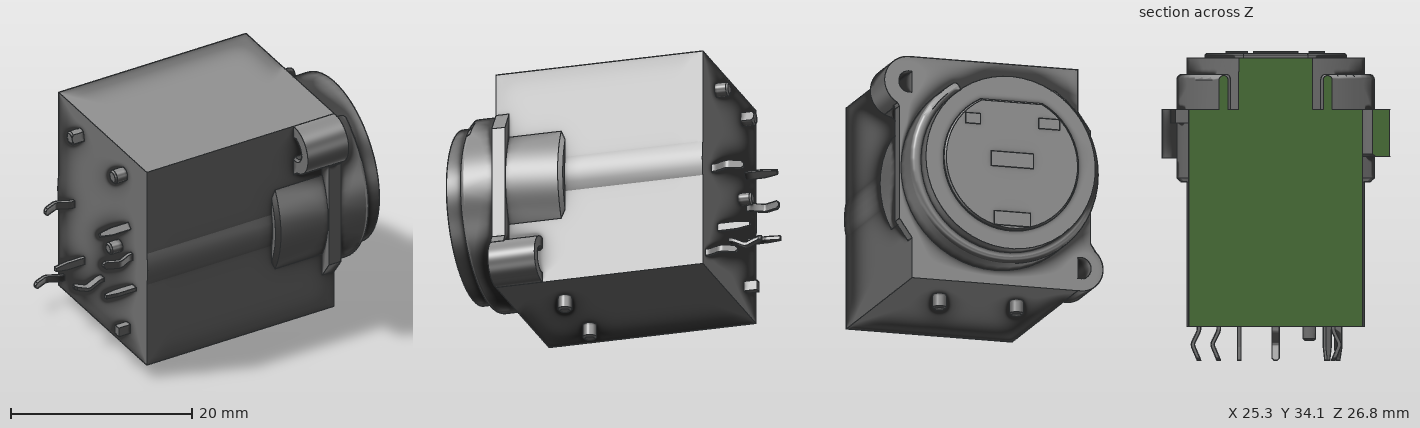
import cadquery as cq
import math


BOX_WIDTH = 19.2
BOX_DEPTH = 24.0
BOX_TOP = 12.72
BOX_BOTTOM = -12.47
BOX_SIDE = BOX_WIDTH / 2

BARREL_RADIUS = 9.81
BARREL_FRONT = 5.69

COLLAR_RADIUS = 10.9
COLLAR_FRONT = 3.86
COLLAR_BACK = -8.02
COLLAR_BACK_CHAMFER = 0.45
COLLAR_FRONT_ROUND = 0.6
COLLAR_GAP_HALF_ANGLE = 30.5
COLLAR_GAP_ROUND = 0.45

DISC_RADIUS = 7.8
DISC_FRONT = 6.18
DISC_FLAT_Z = 6.94
DISC_CHAMFER = 0.2

PAD_FRONT = 6.36
PADS = [
    (-4.3, 4.57, 2.4, 1.18),
    (4.55, 4.57, 1.7, 1.18),
    (0, 0.18, 4.9, 1.68),
    (0, -6.55, 4.2, 1.57),
]

FLANGE_THICKNESS = 1.53
FLANGE_HALF_WIDTH = 11.07
FLANGE_CORNER_Z = 5.8
FLANGE_BOX_Z = 7.92
FLANGE_END_Z = 7.0
FLANGE_FLARE = 0.55
FLANGE_FLARE_Z = 7.84

LUG_X = 9.92
LUG_Z = 9.86
LOWER_LUG_RADIUS = -BOX_BOTTOM - LUG_Z
UPPER_LUG_RADIUS = BOX_TOP - LUG_Z
LOWER_LUG_DEPTH = 5.39
UPPER_LUG_DEPTH = 5.23
LUG_HOLE_RADIUS = 1.22
LUG_HOLE_CHAMFER = 0.27
WEB_OUTER = (11.15, 7.25)
WEB_MIDDLE = (10.35, 7.0)
WEB_INNER = (BOX_SIDE, 6.35)

BACK_PIN_RADIUS = 0.79
PIN_CHAMFER = 0.2
BOTTOM_PIN_RADIUS = 0.76
BOTTOM_PIN_LENGTH = 1.61
BOTTOM_PIN_X = (-4.53, 4.41)
BOTTOM_PIN_Y = -6.38
BACK_PIN_LENGTH = 1.5
BACK_PIN_X = 4.65
BACK_PIN_Z = 9.85
BACK_PIN_FLAT = 0.58
BACK_PIN_FLAT_ANGLE = 12
MIDDLE_PIN_RADIUS = 0.7
MIDDLE_PIN_X = 3.72
PEG_WIDTH = 0.79
PEG_HEIGHT = 1.12
PEG_X = 5.65
PEG_Z = -9.66

LEAD_LENGTH = 3.71
LEAD_ROOT = 0.5
LEAD_THICKNESS = 0.42
LEAD_WIDTH = 0.85
LEAD_BEND_START = 0.45
LEAD_BEND_MIDDLE = 1.95
LEAD_BEND_OFFSET = 0.74
LEAD_FIRST_BEND_RADIUS = 1.2
LEAD_MIDDLE_BEND_RADIUS = 0.7
LEAD_TIP_CHAMFER = 0.25
LEAD_TAPER_START = 2.25
LEAD_TIP_WIDTH = 0.4

BENT_LEADS = [
    (-8.46, -10.8, 0.72, 180),
    (-6.28, 0, LEAD_WIDTH, 180),
    (6.36, 0, LEAD_WIDTH, 0),
    (0, -6.3, LEAD_WIDTH, -90),
]
STRAIGHT_LEADS = [(6.9, -3.79, 0), (-4.02, -6.18, 90), (5.7, 3.58, -45)]


def xz_plane(y):
    """Sketch plane at depth y with local axes X and Z; extrusion runs toward -Y."""
    return cq.Workplane("XZ", origin=(0, y, 0))


def cylinder_y(radius, front, back, x=0, z=0):
    return xz_plane(front).center(x, z).circle(radius).extrude(front - back)


def block(x0, x1, y0, y1, z0, z1):
    return cq.Workplane("XY").box(x1 - x0, y1 - y0, z1 - z0, centered=False).translate((x0, y0, z0))


def make_collar():
    back = cylinder_y(COLLAR_RADIUS, 0, COLLAR_BACK).faces("<Y").chamfer(COLLAR_BACK_CHAMFER)
    front = cylinder_y(COLLAR_RADIUS, COLLAR_FRONT, 0)
    half_angle = math.radians(COLLAR_GAP_HALF_ANGLE)
    corner_x = COLLAR_RADIUS * math.sin(half_angle)
    corner_z = COLLAR_RADIUS * math.cos(half_angle)
    gap_outline = [(0, 0), (-2 * corner_x, 2 * corner_z), (2 * corner_x, 2 * corner_z)]
    front = front.cut(xz_plane(COLLAR_FRONT).polyline(gap_outline).close().extrude(COLLAR_FRONT))
    for side in (-1, 1):
        corner = (side * corner_x, COLLAR_FRONT / 2, corner_z)
        front = front.edges(cq.selectors.NearestToPointSelector(corner)).fillet(COLLAR_GAP_ROUND)
    rim = (0, COLLAR_FRONT, -COLLAR_RADIUS)
    front = front.edges(cq.selectors.NearestToPointSelector(rim)).fillet(COLLAR_FRONT_ROUND)
    return back.union(front)


def make_disc():
    disc = cylinder_y(DISC_RADIUS, DISC_FRONT, BARREL_FRONT)
    disc = disc.cut(
        block(-DISC_RADIUS, DISC_RADIUS, BARREL_FRONT, DISC_FRONT, DISC_FLAT_Z, DISC_RADIUS)
    )
    disc = disc.faces(">Y").chamfer(DISC_CHAMFER)
    for x, z, width, height in PADS:
        pad = xz_plane(PAD_FRONT).center(x, z).rect(width, height).extrude(PAD_FRONT - BARREL_FRONT)
        disc = disc.union(pad)
    return disc


def make_flange():
    left_half = [
        (0, FLANGE_BOX_Z),
        (-BOX_SIDE, FLANGE_BOX_Z),
        (-FLANGE_HALF_WIDTH, FLANGE_CORNER_Z),
        (-FLANGE_HALF_WIDTH, -FLANGE_END_Z),
        (-FLANGE_HALF_WIDTH - FLANGE_FLARE, -FLANGE_FLARE_Z),
        (0, -FLANGE_FLARE_Z),
    ]
    half = xz_plane(0).polyline(left_half).close().extrude(FLANGE_THICKNESS)
    return half.union(half.rotate((0, 0, 0), (0, 1, 0), 180))


def make_lug(side, radius, depth):
    return cylinder_y(radius, 0, -depth, side * LUG_X, side * LUG_Z)


def make_upper_lug_web():
    """Concave web that runs from the upper lug down to the box side."""
    return (
        xz_plane(0)
        .moveTo(*WEB_OUTER)
        .threePointArc(WEB_MIDDLE, WEB_INNER)
        .lineTo(BOX_SIDE, LUG_Z - LUG_HOLE_RADIUS)
        .close()
        .extrude(UPPER_LUG_DEPTH)
    )


def make_lug_hole(side, depth):
    x = side * LUG_X
    z = side * LUG_Z
    hole = cylinder_y(LUG_HOLE_RADIUS, 0, -depth, x, z)
    mouth_radius = LUG_HOLE_RADIUS + LUG_HOLE_CHAMFER
    mouth = cq.Solid.makeCone(
        mouth_radius, LUG_HOLE_RADIUS, LUG_HOLE_CHAMFER, cq.Vector(x, -depth, z), cq.Vector(0, 1, 0)
    )
    return hole.union(cq.Workplane(mouth))


def make_bottom_pin(x):
    pin = cq.Workplane("XY", origin=(x, BOTTOM_PIN_Y, BOX_BOTTOM)).circle(BOTTOM_PIN_RADIUS)
    return pin.extrude(-BOTTOM_PIN_LENGTH).faces("<Z").chamfer(PIN_CHAMFER)


def make_back_pin(x, z, radius):
    pin = cylinder_y(radius, -BOX_DEPTH, -BOX_DEPTH - BACK_PIN_LENGTH, x, z)
    return pin.faces("<Y").chamfer(PIN_CHAMFER)


def make_flat_back_pin(side):
    """Back pin with a slanted flat that faces the middle of the box."""
    pin = make_back_pin(0, 0, BACK_PIN_RADIUS)
    back = -BOX_DEPTH - BACK_PIN_LENGTH
    waste = block(
        BACK_PIN_FLAT, BACK_PIN_RADIUS, back, -BOX_DEPTH, -BACK_PIN_RADIUS, BACK_PIN_RADIUS
    )
    pin = pin.cut(waste.rotate((0, 0, 0), (0, 1, 0), -BACK_PIN_FLAT_ANGLE))
    if side > 0:
        pin = pin.mirror("YZ")
    return pin.translate((side * BACK_PIN_X, 0, BACK_PIN_Z))


def make_peg():
    peg = xz_plane(-BOX_DEPTH).center(PEG_X, PEG_Z).rect(PEG_WIDTH, PEG_HEIGHT)
    return peg.extrude(BACK_PIN_LENGTH)


def place_lead(lead, x, z, angle):
    turned = lead.rotate((0, 0, 0), (0, 1, 0), -angle)
    return turned.translate((x, -BOX_DEPTH, z))


def round_bend(strip, y, radius, bulge_side):
    """Round both edges of a kink at depth y; bulge_side is the X side that its corner points to."""
    centre_x = 0 if bulge_side < 0 else LEAD_BEND_OFFSET
    half = LEAD_THICKNESS / 2
    for side in (-1, 1):
        corner = (centre_x + side * half, y, 0)
        edge = cq.selectors.NearestToPointSelector(corner)
        strip = strip.edges("|Z").edges(edge).fillet(radius + side * bulge_side * half)
    return strip


def make_bent_lead(width):
    """Flat strip along -Y that kinks toward +X and returns at its tip."""
    half = LEAD_THICKNESS / 2
    path = [
        (0, LEAD_ROOT),
        (0, -LEAD_BEND_START),
        (LEAD_BEND_OFFSET, -LEAD_BEND_MIDDLE),
        (0, -LEAD_LENGTH),
    ]
    near_side = [(x - half, y) for x, y in path]
    far_side = [(x + half, y) for x, y in reversed(path)]
    strip = cq.Workplane("XY").polyline(near_side + far_side).close()
    strip = strip.extrude(width / 2, both=True)
    for y, radius, bulge_side in (
        (-LEAD_BEND_START, LEAD_FIRST_BEND_RADIUS, -1),
        (-LEAD_BEND_MIDDLE, LEAD_MIDDLE_BEND_RADIUS, 1),
    ):
        strip = round_bend(strip, y, radius, bulge_side)
    return strip.faces("<Y").edges("|X").chamfer(LEAD_TIP_CHAMFER)


def make_straight_lead():
    """Flat blade along -Y, wide in X, narrowing toward its tip."""
    half = LEAD_WIDTH / 2
    tip = LEAD_TIP_WIDTH / 2
    outline = [
        (-half, LEAD_ROOT),
        (-half, -LEAD_TAPER_START),
        (-tip, -LEAD_LENGTH),
        (tip, -LEAD_LENGTH),
        (half, -LEAD_TAPER_START),
        (half, LEAD_ROOT),
    ]
    blade = cq.Workplane("XY").polyline(outline).close()
    return blade.extrude(LEAD_THICKNESS / 2, both=True)


result = cylinder_y(BARREL_RADIUS, BARREL_FRONT, -BOX_DEPTH)
result = result.union(make_collar()).union(make_disc()).union(make_flange())

for lug_side, lug_radius, lug_depth in (
    (-1, LOWER_LUG_RADIUS, LOWER_LUG_DEPTH),
    (1, UPPER_LUG_RADIUS, UPPER_LUG_DEPTH),
):
    result = result.union(make_lug(lug_side, lug_radius, lug_depth))
result = result.union(make_upper_lug_web())
result = result.cut(make_lug_hole(-1, LOWER_LUG_DEPTH)).cut(make_lug_hole(1, UPPER_LUG_DEPTH))

result = result.union(block(-BOX_SIDE, BOX_SIDE, -BOX_DEPTH, 0, BOX_BOTTOM, BOX_TOP))

for pin_x in BOTTOM_PIN_X:
    result = result.union(make_bottom_pin(pin_x))
for pin_side in (-1, 1):
    result = result.union(make_flat_back_pin(pin_side))
result = result.union(make_back_pin(MIDDLE_PIN_X, 0, MIDDLE_PIN_RADIUS))
result = result.union(make_peg())

for lead_x, lead_z, lead_width, bend_angle in BENT_LEADS:
    result = result.union(place_lead(make_bent_lead(lead_width), lead_x, lead_z, bend_angle))
for lead_x, lead_z, width_angle in STRAIGHT_LEADS:
    result = result.union(place_lead(make_straight_lead(), lead_x, lead_z, width_angle))